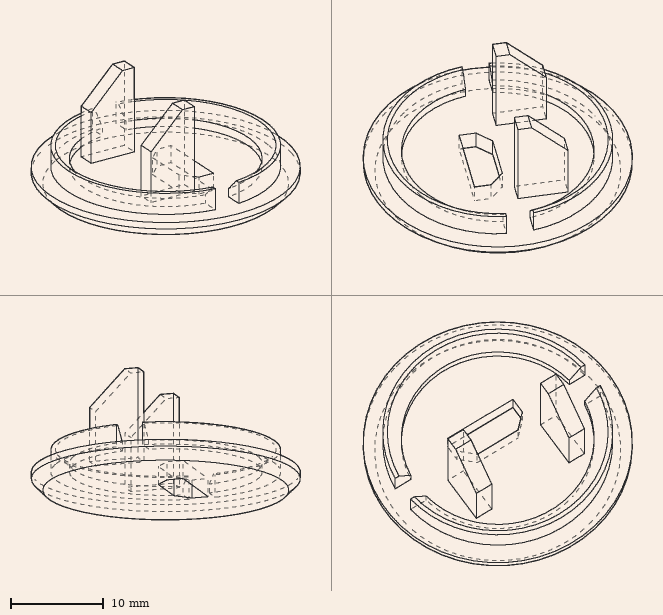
import cadquery as cq

disk_radius = 14.5
disk_height = 2.0
disk_chamfer = 1.25

ring_height = 2.5
ring_outer_radius = 12.38
ring_top_inner_radius = 11.9
ring_bottom_inner_radius = 10.38
ring_straight_height = 1.0
ring_gap = 3.0

total_height = 12.0
tab_thickness = 2.0
tab_inner_spacing = 10.0
tab_back_y = -0.8
tab_depth = 5.5
tab_top_depth = 1.5
tab_slope_height = 4.0

opening_half_width = 4.23
opening_narrow_half_width = 2.65
opening_front_y = 0.03
opening_shoulder_y = 1.57
opening_back_y = 3.4


def make_disk():
    disk = cq.Workplane("XY").circle(disk_radius).extrude(disk_height)
    return disk.faces("<Z").chamfer(disk_chamfer)


def make_ring():
    ring_top = disk_height + ring_height
    section = [
        (ring_bottom_inner_radius, disk_height),
        (ring_outer_radius, disk_height),
        (ring_outer_radius, ring_top),
        (ring_top_inner_radius, ring_top),
        (ring_bottom_inner_radius, disk_height + ring_straight_height),
    ]
    ring = cq.Workplane("XZ").polyline(section).close().revolve(360, (0, 0), (0, 1))
    gap = (
        cq.Workplane("XY", origin=(0, 0, disk_height))
        .rect(2 * disk_radius, ring_gap)
        .extrude(ring_height)
    )
    return ring.cut(gap)


def make_tab(start_x):
    front_y = tab_back_y - tab_depth
    profile = [
        (tab_back_y, disk_height),
        (tab_back_y, total_height),
        (tab_back_y - tab_top_depth, total_height),
        (front_y, total_height - tab_slope_height),
        (front_y, disk_height),
    ]
    plane = cq.Workplane("YZ", origin=(start_x, 0, 0))
    return plane.polyline(profile).close().extrude(tab_thickness)


def make_opening():
    outline = [
        (-opening_half_width, opening_back_y),
        (opening_half_width, opening_back_y),
        (opening_half_width, opening_shoulder_y),
        (opening_narrow_half_width, opening_front_y),
        (-opening_narrow_half_width, opening_front_y),
        (-opening_half_width, opening_shoulder_y),
    ]
    return cq.Workplane("XY").polyline(outline).close().extrude(disk_height)


result = make_disk().union(make_ring())
tab_inner_x = tab_inner_spacing / 2
for tab_start_x in (-tab_inner_x - tab_thickness, tab_inner_x):
    result = result.union(make_tab(tab_start_x))
result = result.cut(make_opening())